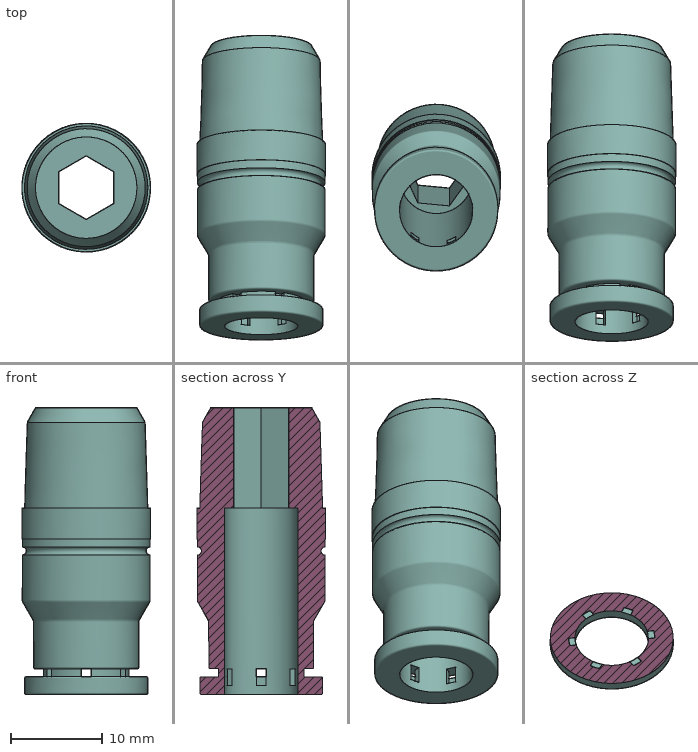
import cadquery as cq
import math

total_height = 31.4
ring_height = 1.97
sleeve_bottom = 2.82
shoulder_top = 10.22
groove_center = 15.72
collar_bottom = 17.05
collar_top = 20.4
tip_chamfer_height = 1.6

ring_diameter = 13.5
leg_diameter = 9.4
tube_bore_diameter = 8.0
sleeve_diameter = 11.54
body_diameter = 14.0
collar_diameter = 14.1
spigot_base_diameter = 13.5
tip_diameter = 11.1

spigot_taper = 1 / 16
shoulder_angle = 30.0
groove_radius = 0.43
hex_sides = 6
hex_across_flats = 6.0
slot_width = 1.06
slot_floor = 1.0
slot_count = 3
edge_fillet = 0.2
shoulder_fillet = 0.4

tube_bore_depth = collar_top

shoulder_drop = (body_diameter - sleeve_diameter) / 2 / math.tan(math.radians(shoulder_angle))
shoulder_bottom = shoulder_top - shoulder_drop
spigot_top = total_height - tip_chamfer_height
spigot_top_diameter = spigot_base_diameter - spigot_taper * (spigot_top - collar_top)


def cylinder(diameter, bottom, top):
    """Solid cylinder on the Z axis between two heights."""
    return cq.Workplane("XY").workplane(offset=bottom).circle(diameter / 2).extrude(top - bottom)


def make_body():
    """Sleeve, conical shoulder, grooved body, collar and tapered spigot as one revolve."""
    sleeve_radius = sleeve_diameter / 2
    body_radius = body_diameter / 2
    collar_radius = collar_diameter / 2
    body = (
        cq.Workplane("XZ")
        .moveTo(0, sleeve_bottom)
        .lineTo(sleeve_radius, sleeve_bottom)
        .lineTo(sleeve_radius, shoulder_bottom)
        .lineTo(body_radius, shoulder_top)
        .lineTo(body_radius, groove_center - groove_radius)
        .threePointArc(
            (body_radius - groove_radius, groove_center),
            (body_radius, groove_center + groove_radius),
        )
        .lineTo(body_radius, collar_bottom)
        .lineTo(collar_radius, collar_bottom)
        .lineTo(collar_radius, collar_top)
        .lineTo(spigot_base_diameter / 2, collar_top)
        .lineTo(spigot_top_diameter / 2, spigot_top)
        .lineTo(tip_diameter / 2, total_height)
        .lineTo(0, total_height)
        .close()
        .revolve(360, (0, 0, 0), (0, 1, 0))
    )
    body = body.faces("<Z").edges().fillet(edge_fillet)
    shoulder_middle = (shoulder_bottom + shoulder_top) / 2
    reach = collar_diameter
    shoulder_box = cq.selectors.BoxSelector(
        (-reach, -reach, shoulder_middle - shoulder_drop),
        (reach, reach, shoulder_middle + shoulder_drop),
    )
    return body.edges("%CIRCLE").edges(shoulder_box).fillet(shoulder_fillet)


def make_release_ring():
    """Flat ring at the bottom, rounded on both rims."""
    return cylinder(ring_diameter, 0, ring_height).edges("%CIRCLE").fillet(edge_fillet)


def cut_leg_slots(part):
    """Split the neck into legs with slots that also run down into the release ring."""
    neck = cylinder(leg_diameter, slot_floor, sleeve_bottom)
    slot_height = sleeve_bottom - slot_floor
    slot = cq.Workplane("XY").box(slot_width, 2 * leg_diameter, slot_height)
    slot = slot.translate((0, 0, slot_floor + slot_height / 2)).intersect(neck)
    for index in range(slot_count):
        part = part.cut(slot.rotate((0, 0, 0), (0, 0, 1), index * 180 / slot_count))
    return part


def make_hex_socket():
    """Through hexagon with its corners on the Y axis."""
    across_corners = hex_across_flats / math.cos(math.pi / hex_sides)
    socket = cq.Workplane("XY").polygon(hex_sides, across_corners).extrude(total_height)
    return socket.rotate((0, 0, 0), (0, 0, 1), 90)


neck = cylinder(leg_diameter, ring_height, sleeve_bottom)
result = make_body().union(neck).union(make_release_ring())
result = cut_leg_slots(result)
result = result.cut(cylinder(tube_bore_diameter, 0, tube_bore_depth))
result = result.cut(make_hex_socket())